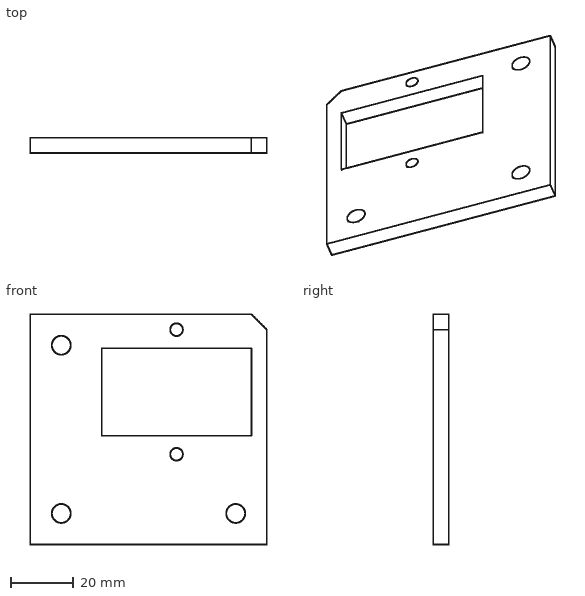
import cadquery as cq

plate_width = 76.0
plate_height = 74.0
plate_thickness = 5.0
corner_cut = 5.0

mount_hole_diameter = 6.0
mount_hole_inset = 10.0

window_width = 48.0
window_height = 28.0
window_center_x = plate_width - corner_cut - window_width / 2
window_center_z = 49.0
fixing_hole_diameter = 4.0
fixing_hole_spacing = 40.0


def make_plate():
    """Rectangular plate with its upper +X corner cut at 45 degrees."""
    plate = cq.Workplane("XY").box(plate_width, plate_thickness, plate_height, centered=False)
    return plate.edges(">X and >Z").chamfer(corner_cut)


def through_profile(center_x, center_z):
    """Sketch plane on the -Y face, centred at the given place; +extrusion runs along -Y."""
    return cq.Workplane("XZ").center(center_x, center_z)


def round_cutter(center_x, center_z, diameter):
    """Cylinder that passes through the plate thickness."""
    return through_profile(center_x, center_z).circle(diameter / 2).extrude(-plate_thickness)


def window_cutter():
    """Block that opens the rectangular window."""
    profile = through_profile(window_center_x, window_center_z).rect(window_width, window_height)
    return profile.extrude(-plate_thickness)


mount_left = mount_hole_inset
mount_right = plate_width - mount_hole_inset
mount_bottom = mount_hole_inset
mount_top = plate_height - mount_hole_inset
mount_hole_places = [
    (mount_left, mount_bottom),
    (mount_right, mount_bottom),
    (mount_left, mount_top),
]

result = make_plate().cut(window_cutter())

for x, z in mount_hole_places:
    result = result.cut(round_cutter(x, z, mount_hole_diameter))

for side in (-1, 1):
    fixing_z = window_center_z + side * fixing_hole_spacing / 2
    result = result.cut(round_cutter(window_center_x, fixing_z, fixing_hole_diameter))